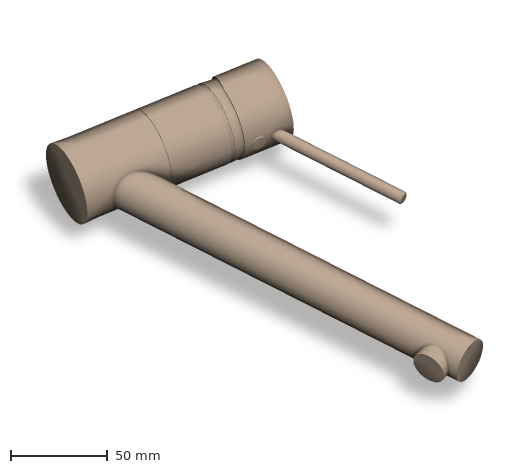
import cadquery as cq
import math

overall_length = 232.5

cap_radius = 22.5
body_radius = 22.0
groove_radius = 21.6
neck_top_radius = 21.2
base_height = 9.8
joint_groove_start = 49.3
joint_groove_width = 0.5
neck_groove_start = 84.6
neck_groove_width = 2.3

cap_bottom = 92.5
cap_top = 121.0
cap_rear_rise = 4.0

indicator_radius = 4.2
indicator_height = 100.7
indicator_proud = 0.5

lean_degrees = 28.0
spout_diameter = 24.5
spout_radius = spout_diameter / 2
spout_end_height = 126.3
handle_radius = 3.5
handle_end = (91.1, 148.3)
handle_end_chamfer = 0.7

outlet_radius = 9.5
outlet_setback = 14.9
outlet_reach = 16.0

lean = math.radians(lean_degrees)
along = (math.cos(lean), math.sin(lean))
outward = (math.sin(lean), -math.cos(lean))

spout_end = (overall_length - cap_radius - spout_radius * math.sin(lean), spout_end_height)


def rod(end, direction, length, radius):
    """Cylinder in the XY plane that finishes at end, heading along direction."""
    start = [end[i] - direction[i] * length for i in range(2)]
    plane = cq.Plane(origin=(*start, 0), xDir=(0, 0, 1), normal=(*direction, 0))
    return cq.Workplane(plane).circle(radius).extrude(length)


def arm(end, radius):
    """Leaning rod that starts on the body axis."""
    return rod(end, along, end[0] / along[0], radius)


def make_body():
    joint_groove_end = joint_groove_start + joint_groove_width
    neck_groove_end = neck_groove_start + neck_groove_width
    neck_top = cap_bottom + cap_rear_rise
    profile = [
        (0, 0),
        (cap_radius, 0),
        (body_radius, base_height),
        (body_radius, joint_groove_start),
        (groove_radius, joint_groove_start),
        (groove_radius, joint_groove_end),
        (body_radius, joint_groove_end),
        (body_radius, neck_groove_start),
        (groove_radius, neck_groove_start),
        (groove_radius, neck_groove_end),
        (body_radius, neck_groove_end),
        (neck_top_radius, neck_top),
        (0, neck_top),
    ]
    return cq.Workplane("XY").polyline(profile).close().revolve(360, (0, 0, 0), (0, 1, 0))


def make_cap():
    outline = [
        (cap_radius, cap_bottom),
        (cap_radius, cap_top),
        (-cap_radius, cap_top),
        (-cap_radius, cap_bottom + cap_rear_rise),
        (0, cap_bottom),
    ]
    slab = cq.Workplane("XY").polyline(outline).close().extrude(cap_radius, both=True)
    round_blank = rod((0, cap_top), (0, 1), cap_top, cap_radius)
    return slab.intersect(round_blank)


def make_indicator():
    face_x = cap_radius + indicator_proud
    return rod((face_x, indicator_height), (1, 0), face_x, indicator_radius)


def make_spout():
    tube = arm(spout_end, spout_radius)
    outlet_end = [spout_end[i] - along[i] * outlet_setback + outward[i] * outlet_reach for i in range(2)]
    return tube.union(rod(outlet_end, outward, outlet_reach, outlet_radius))


def make_handle():
    return arm(handle_end, handle_radius).faces(">X").chamfer(handle_end_chamfer)


result = make_body().union(make_cap()).union(make_indicator()).union(make_spout()).union(make_handle())